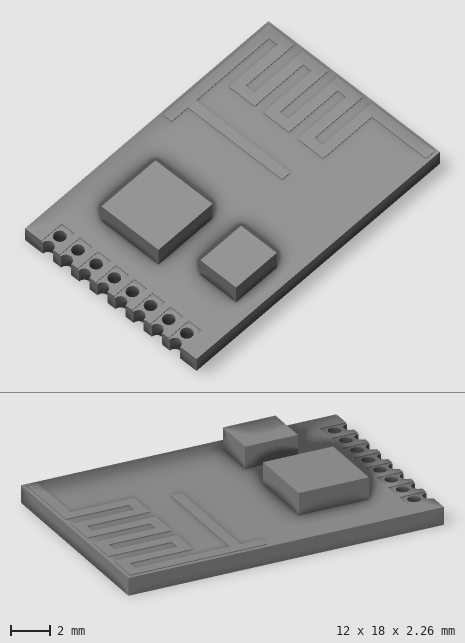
import cadquery as cq

board_width = 12.0
board_length = 18.0
board_thickness = 1.0

trace_width = board_width / 20
trace_height = 0.05
trace_margin = 0.2
feed_steps = 13
stub_steps = 12
stub_offset_steps = 10
meander_turns = 3
meander_steps = 7
leg_spacing_steps = 2
link_steps = leg_spacing_steps + 1
turn_steps = 2 * leg_spacing_steps

chip_height = 1.26
chip_far_edge = 7.0
main_chip_left = 2.5
main_chip_size = 4.0
small_chip_left = 8.5
small_chip_width = 2.5
small_chip_length = 3.0

pad_count = 8
first_pad_x = 1.6
pad_row_span = 8.9
pad_pitch = pad_row_span / (pad_count - 1)
pad_width = 0.9
pad_length = 1.5
pad_depth = 0.05
hole_diameter = 0.7
hole_from_edge = 0.88


def block(left, near, bottom, width, length, height):
    """Box placed by its left, near, bottom corner."""
    return cq.Workplane("XY").box(width, length, height, centered=False).translate((left, near, bottom))


def trace_bar(column, row, columns, rows):
    """Straight piece of trace: grid columns count from the left margin, rows from the far margin."""
    left = trace_margin + column * trace_width
    near = board_length - trace_margin - (row + rows) * trace_width
    return block(left, near, board_thickness, columns * trace_width, rows * trace_width, trace_height)


def antenna():
    """Feed line along the left edge, a side stub, and a meander ending in a straight tail."""
    trace = trace_bar(0, 0, 1, feed_steps)
    trace = trace.union(trace_bar(0, stub_offset_steps, stub_steps, 1))

    for turn in range(meander_turns):
        start = turn * turn_steps
        middle = start + leg_spacing_steps
        end = start + turn_steps
        trace = trace.union(trace_bar(start, 0, link_steps, 1))
        trace = trace.union(trace_bar(middle, 0, 1, meander_steps))
        trace = trace.union(trace_bar(middle, meander_steps - 1, link_steps, 1))
        trace = trace.union(trace_bar(end, 0, 1, meander_steps))

    tail_column = meander_turns * turn_steps
    usable_columns = (board_width - 2 * trace_margin) / trace_width
    return trace.union(trace_bar(tail_column, 0, usable_columns - tail_column, 1))


def chip(left, width, length):
    """Plain package standing on the board."""
    return block(left, chip_far_edge - length, board_thickness, width, length, chip_height)


def pad_cutter(x):
    """Shallow pad recess with a through hole and a half-round notch in the board edge."""
    recess = block(x - pad_width / 2, 0, board_thickness - pad_depth, pad_width, pad_length, pad_depth)
    holes = (
        cq.Workplane("XY")
        .pushPoints([(x, 0), (x, hole_from_edge)])
        .circle(hole_diameter / 2)
        .extrude(board_thickness)
    )
    return recess.union(holes)


result = block(0, 0, 0, board_width, board_length, board_thickness)
for pad in range(pad_count):
    result = result.cut(pad_cutter(first_pad_x + pad * pad_pitch))

result = result.union(antenna())
result = result.union(chip(main_chip_left, main_chip_size, main_chip_size))
result = result.union(chip(small_chip_left, small_chip_width, small_chip_length))